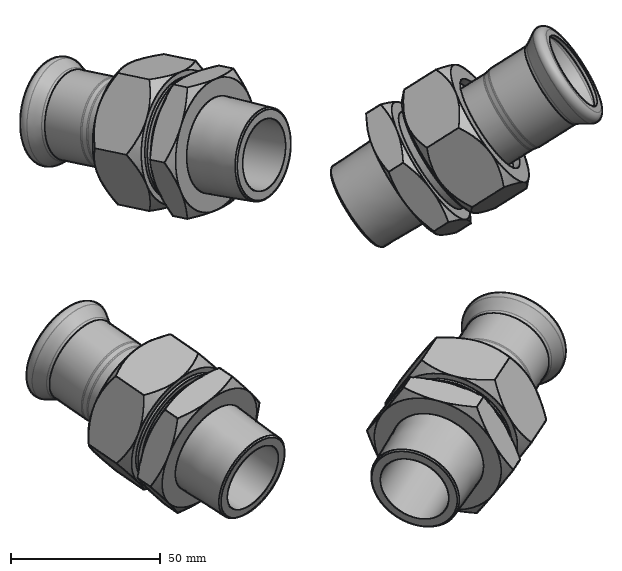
import cadquery as cq
import math

length = 88.0

tube_radius = 31.0 / 2
neck_radius = 30.0 / 2
socket_bore_radius = 13.9
bore_radius = 12.4
bead_radius = 2.55
bead_centre_radius = 16.2
bead_tangent_angle = math.radians(61.5)
cone_end = 8.0
cone_end_radius = 15.9
tube_start = 9.1
tube_end = 23.6
neck_start = 26.3
blend_length = 0.5
blend_drop = 0.1
groove_back_end = 7.4
groove_back_radius = 14.6
lip_length = 1.2
socket_depth = neck_start

across_flats = 46.0
flat_radius = across_flats / 2
corner_radius = flat_radius / math.cos(math.pi / 6)
nut_start = 34.0
nut_length = 20.0
nut_end = nut_start + nut_length
nut_chamfer_angle = 45.0
nut_hole_radius = 35.0 / 2
nut_recess_depth = 2.6
hex_start = 58.0
hex_length = 10.0
hex_end = hex_start + hex_length
hex_chamfer_angle = 30.0

flange_radius = 41.9 / 2
flange_end = 55.0
collar_radius = 38.0 / 2

thread_start_radius = 16.6
diameter_taper = 1 / 16
thread_chamfer = 0.5
thread_chamfer_start = length - thread_chamfer
thread_end_radius = thread_start_radius - (thread_chamfer_start - hex_end) * diameter_taper / 2


def bead_point(angle, radius):
    """Point on a bead circle; angle is measured from the axis direction."""
    return (bead_radius + radius * math.cos(angle), bead_centre_radius + radius * math.sin(angle))


def revolve_about_x(profile):
    return profile.close().revolve(360, (0, 0, 0), (1, 0, 0))


def cylinder(start, end, radius):
    return cq.Workplane("YZ", origin=(start, 0, 0)).circle(radius).extrude(end - start)


def chamfered_hexagon(start, size, angle):
    """Hexagonal prism whose corners are turned off to the flats at both ends."""
    end = start + size
    chamfer = (corner_radius - flat_radius) * math.tan(math.radians(angle))
    prism = (
        cq.Workplane("YZ", origin=(start, 0, 0))
        .polygon(6, 2 * corner_radius)
        .extrude(size)
    )
    envelope = revolve_about_x(
        cq.Workplane("XY")
        .moveTo(start, 0)
        .lineTo(start, flat_radius)
        .lineTo(start + chamfer, corner_radius)
        .lineTo(end - chamfer, corner_radius)
        .lineTo(end, flat_radius)
        .lineTo(end, 0)
    )
    return prism.intersect(envelope)


def press_socket():
    """Outer shape of the beaded tube and its narrower neck."""
    bead_middle_angle = (math.pi + bead_tangent_angle) / 2
    return revolve_about_x(
        cq.Workplane("XY")
        .lineTo(0, bead_centre_radius)
        .threePointArc(
            bead_point(bead_middle_angle, bead_radius),
            bead_point(bead_tangent_angle, bead_radius),
        )
        .lineTo(cone_end, cone_end_radius)
        .lineTo(tube_start, tube_radius)
        .lineTo(tube_end, tube_radius)
        .lineTo(tube_end + blend_length, tube_radius - blend_drop)
        .lineTo(neck_start - blend_length, neck_radius + blend_drop)
        .lineTo(neck_start, neck_radius)
        .lineTo(nut_end, neck_radius)
        .lineTo(nut_end, 0)
    )


def seal_groove():
    """Groove under the bead, with a conical back wall easing into the socket."""
    groove_radius = bead_radius - lip_length
    crest = bead_point(bead_tangent_angle, groove_radius)
    middle_angle = (math.pi + bead_tangent_angle) / 2
    return revolve_about_x(
        cq.Workplane("XY")
        .moveTo(lip_length, 0)
        .lineTo(lip_length, bead_centre_radius)
        .threePointArc(bead_point(middle_angle, groove_radius), crest)
        .lineTo(groove_back_end, groove_back_radius)
        .lineTo(tube_start, socket_bore_radius)
        .lineTo(tube_start, 0)
    )


def union_nut():
    nut = chamfered_hexagon(nut_start, nut_length, nut_chamfer_angle)
    return nut.cut(cylinder(nut_start, nut_start + nut_recess_depth, nut_hole_radius))


def thread_end():
    return revolve_about_x(
        cq.Workplane("XY")
        .moveTo(hex_end, 0)
        .lineTo(hex_end, thread_start_radius)
        .lineTo(thread_chamfer_start, thread_end_radius)
        .lineTo(length, thread_end_radius - thread_chamfer)
        .lineTo(length, 0)
    )


body = (
    union_nut()
    .union(press_socket())
    .union(cylinder(nut_end, flange_end, flange_radius))
    .union(cylinder(flange_end, hex_start, collar_radius))
    .union(chamfered_hexagon(hex_start, hex_length, hex_chamfer_angle))
    .union(thread_end())
)

result = (
    body.cut(cylinder(0, length, bore_radius))
    .cut(cylinder(0, socket_depth, socket_bore_radius))
    .cut(seal_groove())
)